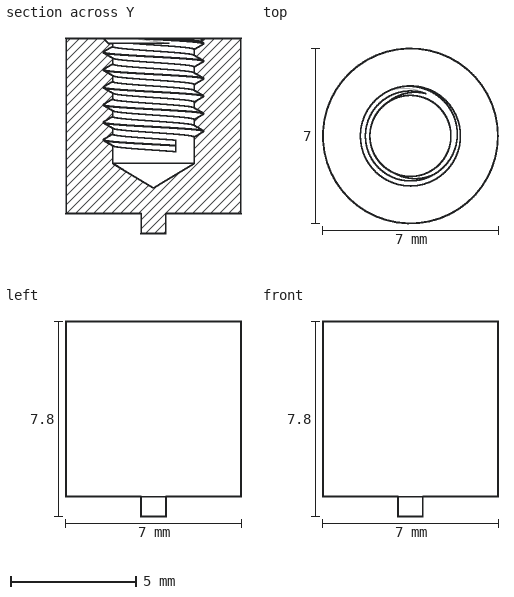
import math

import cadquery as cq

body_diameter = 7.0
body_height = 7.0
pin_diameter = 1.0
pin_length = 0.8

bore_diameter = 3.24
bore_depth = 5.0
drill_point_angle = 118.0

thread_diameter = 4.0
thread_pitch = 0.7
thread_angle = 60.0
thread_turns = 7
thread_start_direction = 57.0
groove_root_width = 0.02

mouth_diameter = 4.0
mouth_depth = 0.2
mouth_chamfer_angle = 45.0
mouth_seam_direction = 60.0

cutter_overlap = 0.05

bore_radius = bore_diameter / 2
bore_bottom = body_height - bore_depth
drill_point_depth = bore_radius / math.tan(math.radians(drill_point_angle / 2))
thread_radius = thread_diameter / 2
thread_start_height = bore_bottom + thread_pitch
mouth_radius = mouth_diameter / 2
mouth_floor_radius = mouth_radius - mouth_depth * math.tan(math.radians(mouth_chamfer_angle))


def make_body():
    """Plain cylinder with the coaxial pin under its base."""
    body = cq.Workplane("XY").circle(body_diameter / 2).extrude(body_height)
    pin = cq.Workplane("XY").circle(pin_diameter / 2).extrude(-pin_length)
    return body.union(pin)


def revolve_about_z(points):
    """Solid of revolution from an outline of (radius, height) points."""
    return cq.Workplane("XZ").polyline(points).close().revolve(360, (0, 0), (0, 1))


def make_bore():
    """Drilled hole, ending in a drill point."""
    return revolve_about_z([
        (0, body_height),
        (bore_radius, body_height),
        (bore_radius, bore_bottom),
        (0, bore_bottom - drill_point_depth),
    ])


def make_mouth():
    """Tapered recess; its seam is turned to where the groove leaves least of the taper."""
    recess = revolve_about_z([
        (0, body_height),
        (mouth_radius, body_height),
        (mouth_floor_radius, body_height - mouth_depth),
        (0, body_height - mouth_depth),
    ])
    return recess.rotate((0, 0, 0), (0, 0, 1), mouth_seam_direction)


def make_thread_groove():
    """Helical cutter with a V section, bounded by ruled faces and two end caps."""
    length = thread_turns * thread_pitch
    inner_radius = bore_radius - cutter_overlap
    root_half = groove_root_width / 2
    flank_rise = (thread_radius - inner_radius) * math.tan(math.radians(thread_angle / 2))
    inner_half = root_half + flank_rise
    section = [
        (inner_radius, -inner_half),
        (thread_radius, -root_half),
        (thread_radius, root_half),
        (inner_radius, inner_half),
    ]

    helices = []
    for radius, height in section:
        helix = cq.Wire.makeHelix(thread_pitch, length, radius)
        helices.append(helix.translate(cq.Vector(0, 0, height)))

    faces = []
    for index, helix in enumerate(helices):
        next_helix = helices[(index + 1) % len(helices)]
        faces.append(cq.Face.makeRuledSurface(helix, next_helix))
    for end_height in (0, length):
        corners = [cq.Vector(radius, 0, height + end_height) for radius, height in section]
        faces.append(cq.Face.makeFromWires(cq.Wire.makePolygon(corners, close=True)))

    cutter = cq.Workplane(cq.Solid.makeSolid(cq.Shell.makeShell(faces)))
    cutter = cutter.rotate((0, 0, 0), (0, 0, 1), thread_start_direction)
    return cutter.translate((0, 0, thread_start_height))


result = make_body().cut(make_bore()).cut(make_thread_groove()).cut(make_mouth()).solids()